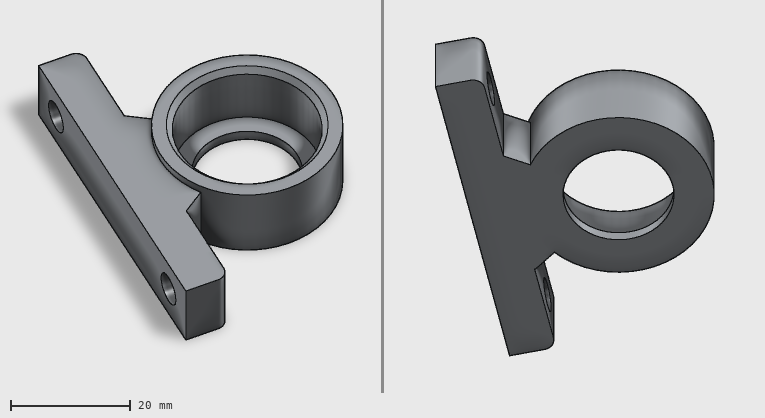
import cadquery as cq

plate_length = 57.0
plate_thickness = 8.0
plate_height = 12.0
corner_radius = 2.0
bolt_diameter = 5.7
bolt_spacing = 43.55

ring_diameter = 32.0
ring_height = 13.5
overall_depth = 41.0
ring_center_y = overall_depth - ring_diameter / 2
bore_diameter = 25.0
through_diameter = 18.5
floor_thickness = 2.0
lead_in_diameter = 27.0
bore_chamfer = (lead_in_diameter - bore_diameter) / 2

web_base_width = 24.05
web_ring_width = 18.45
web_ring_y = 12.0


def make_plate():
    plate = cq.Workplane("XY").box(
        plate_length, plate_thickness, plate_height, centered=(True, False, False)
    )
    return plate.edges("|Z and >Y").fillet(corner_radius)


def make_web():
    half_base = web_base_width / 2
    half_ring = web_ring_width / 2
    outline = [
        (-half_base, plate_thickness),
        (half_base, plate_thickness),
        (half_ring, web_ring_y),
        (half_ring, ring_center_y),
        (-half_ring, ring_center_y),
        (-half_ring, web_ring_y),
    ]
    return cq.Workplane("XY").polyline(outline).close().extrude(plate_height)


def ring_cylinder(diameter, bottom, top):
    return (
        cq.Workplane("XY", origin=(0, ring_center_y, bottom))
        .circle(diameter / 2)
        .extrude(top - bottom)
    )


def make_bore():
    through_hole = ring_cylinder(through_diameter, 0, ring_height)
    bearing_seat = ring_cylinder(bore_diameter, floor_thickness, ring_height)
    lead_in = (
        cq.Workplane("XY", origin=(0, ring_center_y, ring_height - bore_chamfer))
        .circle(bore_diameter / 2)
        .workplane(offset=bore_chamfer)
        .circle(lead_in_diameter / 2)
        .loft()
    )
    return through_hole.union(bearing_seat).union(lead_in)


def make_bolt_holes():
    return (
        cq.Workplane("XZ", origin=(0, 0, plate_height / 2))
        .pushPoints([(-bolt_spacing / 2, 0), (bolt_spacing / 2, 0)])
        .circle(bolt_diameter / 2)
        .extrude(-plate_thickness)
    )


ring = ring_cylinder(ring_diameter, 0, ring_height)
body = make_plate().union(make_web()).union(ring)
result = body.cut(make_bore()).cut(make_bolt_holes())